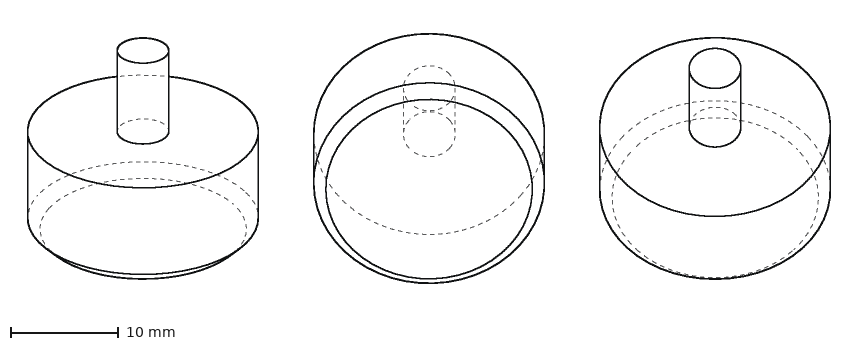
import cadquery as cq

total_height = 21.8
head_diameter = 21.4
pin_diameter = 4.8
pin_length = 8.6
chamfer_size = 1.13
cone_height = 2.88

head_radius = head_diameter / 2
pin_radius = pin_diameter / 2
cone_radius = head_radius - chamfer_size
chamfer_top = cone_height + chamfer_size
head_top = total_height - pin_length

half_section = (
    cq.Workplane("XZ")
    .moveTo(0, 0)
    .lineTo(cone_radius, cone_height)
    .lineTo(head_radius, chamfer_top)
    .lineTo(head_radius, head_top)
    .lineTo(pin_radius, head_top)
    .lineTo(pin_radius, total_height)
    .lineTo(0, total_height)
    .close()
)

result = half_section.revolve(360, (0, 0), (0, 1))